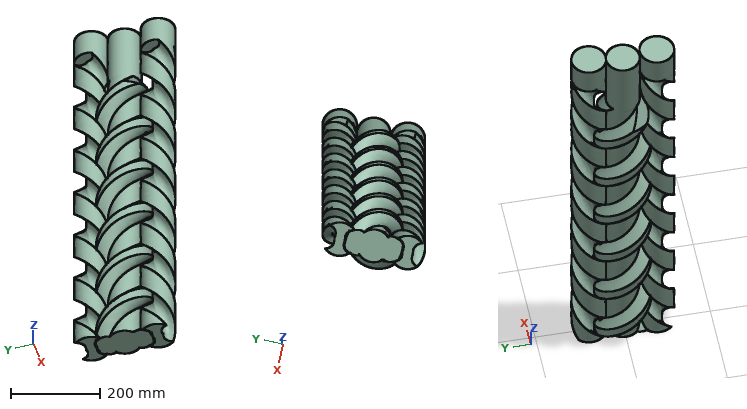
import cadquery as cq
import math


overall_height = 932.0
overall_width = 234.0
idler_diameter = 78.0
drive_diameter = 130.0
shaft_diameter = 76.0
lead = 260.0
drive_height = 920.5
drive_thread_height = 780.0
idler_thread_height = 866.0
end_taper_height = 45.0
running_clearance = 0.5
starts = 2
flank_points = 7

idler_radius = idler_diameter / 2
drive_radius = drive_diameter / 2
shaft_radius = shaft_diameter / 2
center_distance = (overall_width - idler_diameter) / 2
idler_root_radius = center_distance - drive_radius - running_clearance
start_spacing = 2 * math.pi / starts
half_tooth = start_spacing / 4
clearance_angle = running_clearance / shaft_radius
tooth_direction = math.pi / 2


def polar(radius, angle):
    return (radius * math.cos(angle), radius * math.sin(angle))


def traced_point(tip_radius, roll):
    """Polar point that a mating tip leaves after its screw has rolled by the given angle."""
    x = center_distance * math.cos(roll) - tip_radius * math.cos(2 * roll)
    y = center_distance * math.sin(roll) - tip_radius * math.sin(2 * roll)
    return math.hypot(x, y), math.atan2(y, x)


def roll_at_radius(tip_radius, radius):
    """Roll angle at which the traced curve reaches the given radius."""
    squares = center_distance ** 2 + tip_radius ** 2 - radius ** 2
    return math.acos(squares / (2 * center_distance * tip_radius))


def trochoid_flank(tip_radius, outer_radius):
    """Polar points of a flank, from its root to its crest; angles are measured from the root."""
    end_roll = roll_at_radius(tip_radius, outer_radius)
    rolls = [end_roll * i / (flank_points - 1) for i in range(flank_points)]
    traced = [traced_point(tip_radius, roll) for roll in rolls]
    return [(radius, abs(angle)) for radius, angle in traced]


def screw_section(root_radius, flank, root_half_angle, direction, sign):
    """Closed section: per start, a flank, an arc, the mirrored flank and the arc to the next start.

    A sign of -1 makes teeth that narrow outwards; +1 makes grooves that widen outwards.
    """
    flank = [(root_radius, 0.0), *flank[1:]]
    offsets = [(radius, root_half_angle + sign * angle) for radius, angle in flank]
    crest_radius = flank[-1][0]
    if sign < 0:
        first_side = offsets
        arc_radius, next_radius = crest_radius, root_radius
    else:
        first_side = offsets[::-1]
        arc_radius, next_radius = root_radius, crest_radius
    section = cq.Workplane("XY").moveTo(*polar(first_side[0][0], direction - first_side[0][1]))
    for start in range(starts):
        middle = direction + start * start_spacing
        next_start = middle + start_spacing - first_side[0][1]
        rising = [polar(radius, middle - offset) for radius, offset in first_side]
        falling = [polar(radius, middle + offset) for radius, offset in first_side[::-1]]
        section = section.spline(rising[1:], includeCurrent=True)
        section = section.threePointArc(polar(arc_radius, middle), falling[0])
        section = section.spline(falling[1:], includeCurrent=True)
        next_point = polar(next_radius, next_start)
        section = section.threePointArc(polar(next_radius, middle + start_spacing / 2), next_point)
    return section.close()


def make_taper_cutter():
    """Ring that bevels the top of the drive thread, from the crests up to the shaft surface.

    Its conical face runs on past both ends of the bevel, clear of the thread.
    """
    radial_margin = 9.0
    axial_margin = radial_margin * end_taper_height / (drive_radius - shaft_radius)
    top = drive_thread_height + axial_margin
    bottom = drive_thread_height - end_taper_height - axial_margin
    return (
        cq.Workplane("XZ")
        .moveTo(shaft_radius - radial_margin, top)
        .lineTo(drive_radius + radial_margin, top)
        .lineTo(drive_radius + radial_margin, bottom)
        .close()
        .revolve(360, (0, 0, 0), (0, 1, 0))
    )


def make_drive_screw():
    flank = trochoid_flank(idler_radius, drive_radius)
    section = screw_section(shaft_radius, flank, half_tooth - clearance_angle, tooth_direction, -1)
    turns = drive_thread_height / lead
    thread = section.twistExtrude(drive_thread_height, 360 * turns)
    shaft = (
        cq.Workplane("XY")
        .workplane(offset=drive_thread_height)
        .circle(shaft_radius)
        .extrude(drive_height - drive_thread_height)
    )
    return thread.cut(make_taper_cutter()).union(shaft)


def make_idler_screw(side):
    flank = trochoid_flank(drive_radius, idler_radius)
    root_half_angle = half_tooth - flank[-1][1]
    section = screw_section(idler_root_radius, flank, root_half_angle, tooth_direction, 1)
    turns = idler_thread_height / lead
    thread = section.twistExtrude(idler_thread_height, -360 * turns)
    journal = (
        cq.Workplane("XY")
        .workplane(offset=idler_thread_height)
        .circle(idler_radius)
        .extrude(overall_height - idler_thread_height)
    )
    return thread.union(journal).translate((0, side * center_distance, 0))


drive_screw = make_drive_screw()
idler_screws = [make_idler_screw(side) for side in (-1, 1)]

bodies = [drive_screw, *idler_screws]
result = cq.Compound.makeCompound([body.solids().val() for body in bodies])